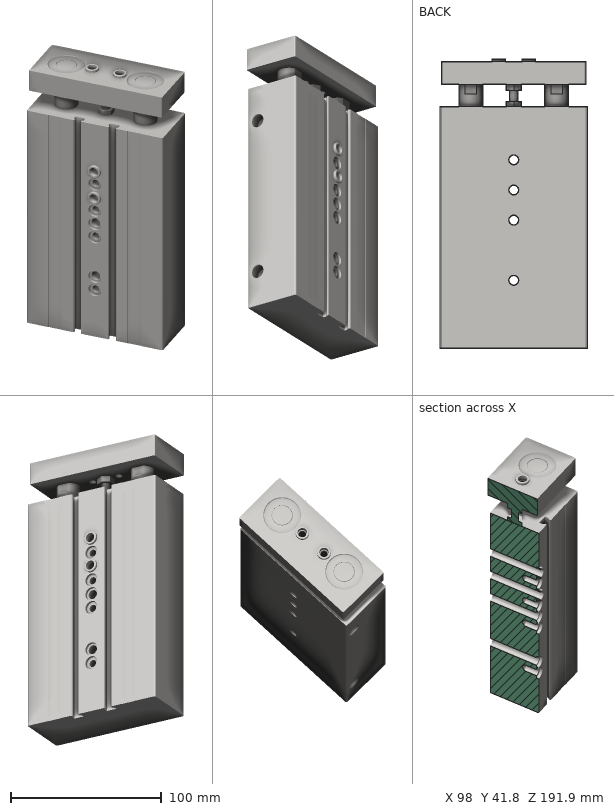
import cadquery as cq
import math

HOUSING_WIDTH = 98.0
HOUSING_DEPTH = 38.2
HOUSING_HEIGHT = 160.2
HOUSING_EDGE_RADIUS = 1.2

SLOT_CENTER_X = 12.5
SLOT_MOUTH_WIDTH = 5.0
SLOT_MOUTH_DEPTH = 1.5
SLOT_UNDERCUT_WIDTH = 7.1
SLOT_DEPTH = 5.2
SLOT_OUTER_LIP_CHAMFER = 0.5

STRIP_WIDTH = 9.4
STRIP_DEPTH = 0.2

MOUNT_THROUGH_HEIGHTS = (45.1, 85.0, 105.0, 125.0)
MOUNT_BLIND_OFFSET = 10.0
THROUGH_DIAMETER = 6.3
THREAD_DIAMETER = 5.0
BLIND_DEPTH = 11.5
DRILL_POINT_ANGLE = 118

PORT_DIAMETER = 9.0
PORT_MOUTH_DIAMETER = 9.8
PORT_DEPTH = 7.7
PORT_Y = 30.7
PORT_HEIGHTS = (25.0, 135.1)

SLEEVE_DIAMETER = 9.0
SLEEVE_BORE = 6.3
SLEEVE_PROTRUSION = 1.7
SLEEVE_SEAT_DEPTH = 2.0
SLEEVE_CHAMFER = 0.29
HOUSING_SLEEVE_HEIGHTS = MOUNT_THROUGH_HEIGHTS[2:]
PLATE_SLEEVE_X = 10.0

PLATE_WIDTH = 96.0
PLATE_DEPTH = 39.0
PLATE_THICKNESS = 15.2
PLATE_BOTTOM = 175.0
PLATE_TOP = PLATE_BOTTOM + PLATE_THICKNESS
PLATE_BACK = 40.1
PLATE_EDGE_RADIUS = 0.8
PLATE_RECESS_DIAMETER = 25.0
PLATE_RECESS_FLOOR_DIAMETER = 24.0
PLATE_RECESS_DEPTH = (PLATE_RECESS_DIAMETER - PLATE_RECESS_FLOOR_DIAMETER) / 2

ROD_SPACING = 57.0
ROD_X = ROD_SPACING / 2
ROD_Y = 19.0
ROD_DIAMETER = 16.0
ROD_END_DIAMETER = 14.0
ROD_END_CHAMFER = 0.4
ROD_FLATS_WIDTH = 13.8
ROD_FLATS_HEIGHT = 6.3

SCREW_DIAMETER = 6.0
HEX_ACROSS_FLATS = 10.0
LOCK_NUT_HEIGHT = 4.0
SCREW_HEAD_HEIGHT = 3.3

MIRROR_SIDES = (-1, 1)


def cylinder_along(start, direction, diameter, length):
    return cq.Solid.makeCylinder(diameter / 2, length, cq.Vector(*start), cq.Vector(*direction))


def drilled_hole(start, direction, diameter, depth):
    """Blind hole with a conical drill point beyond its full-diameter depth."""
    axis = cq.Vector(*direction)
    point_height = diameter / 2 / math.tan(math.radians(DRILL_POINT_ANGLE / 2))
    shaft = cylinder_along(start, direction, diameter, depth)
    point = cq.Solid.makeCone(diameter / 2, 0, point_height, cq.Vector(*start) + axis * depth, axis)
    return shaft.fuse(point)


def countersink(start, direction, outer_diameter, inner_diameter):
    """45 degree cone narrowing from the surface to the inner diameter."""
    outer_radius = outer_diameter / 2
    inner_radius = inner_diameter / 2
    return cq.Solid.makeCone(
        outer_radius, inner_radius, outer_radius - inner_radius, cq.Vector(*start), cq.Vector(*direction)
    )


def slot_cutter(side):
    """T-slot with 45 degree shoulders; only the lip farther from the middle is chamfered."""
    mouth = SLOT_MOUTH_WIDTH / 2
    undercut = SLOT_UNDERCUT_WIDTH / 2
    shoulder_depth = SLOT_MOUTH_DEPTH + undercut - mouth
    profile = [
        (-mouth, 0),
        (-mouth, SLOT_MOUTH_DEPTH),
        (-undercut, shoulder_depth),
        (-undercut, SLOT_DEPTH),
        (undercut, SLOT_DEPTH),
        (undercut, shoulder_depth),
        (mouth, SLOT_MOUTH_DEPTH),
        (mouth, SLOT_OUTER_LIP_CHAMFER),
        (mouth + SLOT_OUTER_LIP_CHAMFER, 0),
    ]
    points = [(side * (SLOT_CENTER_X + x), y) for x, y in profile]
    return cq.Workplane("XY").polyline(points).close().extrude(HOUSING_HEIGHT)


def make_housing():
    housing = (
        cq.Workplane("XY")
        .box(HOUSING_WIDTH, HOUSING_DEPTH, HOUSING_HEIGHT, centered=(True, False, False))
        .edges("|Z")
        .fillet(HOUSING_EDGE_RADIUS)
    )
    for side in MIRROR_SIDES:
        housing = housing.cut(slot_cutter(side))
        strip = cq.Workplane("XY").center(side * ROD_X, 0).rect(STRIP_WIDTH, 2 * STRIP_DEPTH)
        housing = housing.cut(strip.extrude(HOUSING_HEIGHT))

    inward = (0, 1, 0)
    for height in MOUNT_THROUGH_HEIGHTS:
        through_start = (0, 0, height)
        blind_start = (0, 0, height - MOUNT_BLIND_OFFSET)
        housing = housing.cut(cylinder_along(through_start, inward, THROUGH_DIAMETER, HOUSING_DEPTH))
        housing = housing.cut(drilled_hole(blind_start, inward, THREAD_DIAMETER, BLIND_DEPTH))
        for start in (through_start, blind_start):
            housing = housing.cut(cylinder_along(start, inward, SLEEVE_DIAMETER, SLEEVE_SEAT_DEPTH))

    for height in PORT_HEIGHTS:
        port_start = (-HOUSING_WIDTH / 2, PORT_Y, height)
        housing = housing.cut(drilled_hole(port_start, (1, 0, 0), PORT_DIAMETER, PORT_DEPTH))
        housing = housing.cut(countersink(port_start, (1, 0, 0), PORT_MOUTH_DIAMETER, PORT_DIAMETER))
    return housing


def make_rod(x):
    """Rod with two wrench flats below the plate and a thinner end that fills the plate's bore."""
    shaft_length = PLATE_BOTTOM - HOUSING_HEIGHT
    plain_length = shaft_length - ROD_FLATS_HEIGHT
    end_length = PLATE_THICKNESS - PLATE_RECESS_DEPTH
    flats = cq.Workplane("XY").box(ROD_DIAMETER, ROD_FLATS_WIDTH, shaft_length, centered=(True, True, False))
    rod = (
        cq.Workplane("XY")
        .circle(ROD_DIAMETER / 2)
        .extrude(shaft_length)
        .intersect(flats)
        .union(cq.Workplane("XY").circle(ROD_DIAMETER / 2).extrude(plain_length))
    )
    end = (
        cq.Workplane("XY", origin=(0, 0, shaft_length))
        .circle(ROD_END_DIAMETER / 2)
        .extrude(end_length)
        .faces(">Z")
        .chamfer(ROD_END_CHAMFER)
    )
    return rod.union(end).translate((x, ROD_Y, HOUSING_HEIGHT))


def hexagon_prism(bottom, height):
    """Hexagonal prism on the screw axis with a corner toward the front."""
    across_corners = HEX_ACROSS_FLATS / math.cos(math.radians(30))
    prism = cq.Workplane("XY").polygon(6, across_corners).extrude(height)
    corner_to_front = prism.rotate((0, 0, 0), (0, 0, 1), 90)
    return corner_to_front.translate((0, ROD_Y, bottom))


def make_stop_screw():
    """Screw whose hexagon head rests on the housing, with a lock nut under the plate."""
    shank_length = PLATE_BOTTOM - HOUSING_HEIGHT
    shank_bottom = (0, ROD_Y, HOUSING_HEIGHT)
    shank = cq.Workplane(cylinder_along(shank_bottom, (0, 0, 1), SCREW_DIAMETER, shank_length))
    head = hexagon_prism(HOUSING_HEIGHT, SCREW_HEAD_HEIGHT)
    lock_nut = hexagon_prism(PLATE_BOTTOM - LOCK_NUT_HEIGHT, LOCK_NUT_HEIGHT)
    return shank.union(head).union(lock_nut)


def make_plate():
    """End plate and the stop screw fixed to it, as one body."""
    plate = (
        cq.Workplane("XY")
        .box(PLATE_WIDTH, PLATE_DEPTH, PLATE_THICKNESS, centered=(True, False, False))
        .edges("|Z")
        .fillet(PLATE_EDGE_RADIUS)
        .translate((0, PLATE_BACK - PLATE_DEPTH, PLATE_BOTTOM))
    )
    down = (0, 0, -1)
    for side in MIRROR_SIDES:
        rod_top = (side * ROD_X, ROD_Y, PLATE_TOP)
        plate = plate.cut(cylinder_along(rod_top, down, ROD_END_DIAMETER, PLATE_THICKNESS))
        plate = plate.cut(countersink(rod_top, down, PLATE_RECESS_DIAMETER, PLATE_RECESS_FLOOR_DIAMETER))
        sleeve_top = (side * PLATE_SLEEVE_X, ROD_Y, PLATE_TOP)
        plate = plate.cut(cylinder_along(sleeve_top, down, SLEEVE_DIAMETER, SLEEVE_SEAT_DEPTH))
        plate = plate.cut(cylinder_along(sleeve_top, down, THREAD_DIAMETER, PLATE_THICKNESS))

    return plate.union(make_stop_screw())


def make_sleeve(surface_point, outward):
    """Bored sleeve seated below the surface, with a chamfered outer rim."""
    plane = cq.Plane(origin=surface_point, xDir=(1, 0, 0), normal=outward)
    length = SLEEVE_SEAT_DEPTH + SLEEVE_PROTRUSION
    sleeve = (
        cq.Workplane(plane)
        .workplane(offset=-SLEEVE_SEAT_DEPTH)
        .circle(SLEEVE_DIAMETER / 2)
        .extrude(length)
        .faces(cq.selectors.DirectionMinMaxSelector(cq.Vector(*outward)))
        .chamfer(SLEEVE_CHAMFER)
    )
    bore = cq.Workplane(plane).circle(SLEEVE_BORE / 2).extrude(length, both=True)
    return sleeve.cut(bore)


housing = make_housing()
plate = make_plate()
rods = [make_rod(side * ROD_X) for side in MIRROR_SIDES]
housing_sleeves = [make_sleeve((0, 0, height), (0, -1, 0)) for height in HOUSING_SLEEVE_HEIGHTS]
plate_sleeves = [
    make_sleeve((side * PLATE_SLEEVE_X, ROD_Y, PLATE_TOP), (0, 0, 1))
    for side in MIRROR_SIDES
]

bodies = [housing, plate] + rods + housing_sleeves + plate_sleeves
result = cq.Compound.makeCompound([body.solids().val() for body in bodies])